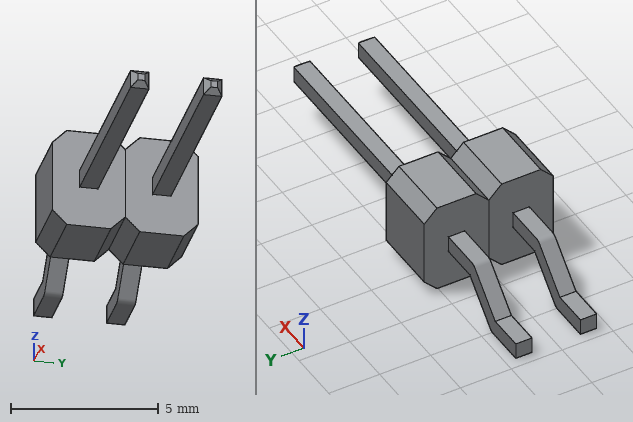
import cadquery as cq
import math

pin_count = 2
pitch = 2.54

housing_start = 4.54
housing_length = 2.57
housing_height = 3.55
housing_chamfer = 0.5

pin_length = 15.19
pin_width = 0.64
foot_length = 1.52
bend_angle = 45
bend_radius = pin_width / 2
tip_length = 0.23
tip_inset = 0.2

half_width = pin_width / 2
pin_height = housing_height / 2
foot_height = half_width
bend_run = (pin_height - foot_height) / math.tan(math.radians(bend_angle))
upper_bend = foot_length + bend_run
miter_shift = half_width * math.tan(math.radians(bend_angle / 2))


def make_housing(y):
    """Octagonal block with a square through hole for its pin."""
    center_x = housing_start + housing_length / 2
    block = (
        cq.Workplane("XY")
        .box(housing_length, pitch, housing_height)
        .edges("|X")
        .chamfer(housing_chamfer)
    )
    hole = cq.Workplane("XY").box(housing_length, pin_width, pin_width)
    return block.cut(hole).translate((center_x, y, pin_height))


def make_bent_bar():
    """Bar of square section with two opposite bends, rounded on their outer sides."""
    lower_outer = (foot_length + miter_shift, foot_height - half_width)
    upper_outer = (upper_bend - miter_shift, pin_height + half_width)
    outline = [
        (0, foot_height - half_width),
        lower_outer,
        (upper_bend + miter_shift, pin_height - half_width),
        (pin_length, pin_height - half_width),
        (pin_length, pin_height + half_width),
        upper_outer,
        (foot_length - miter_shift, foot_height + half_width),
        (0, foot_height + half_width),
    ]
    bar = cq.Workplane("XZ").polyline(outline).close().extrude(half_width, both=True)
    for x, z in (lower_outer, upper_outer):
        outer_edge = cq.selectors.NearestToPointSelector((x, 0, z))
        bar = bar.edges("|Y").edges(outer_edge).fillet(bend_radius)
    return bar


def make_pin(y):
    """Bent bar whose straight end tapers to a small square tip."""
    bar = make_bent_bar()
    tip_width = pin_width - 2 * tip_inset
    taper_start = pin_length - tip_length
    end_block = cq.Workplane("XY").box(tip_length, pin_width, pin_width)
    end_block = end_block.translate((pin_length - tip_length / 2, 0, pin_height))
    taper = (
        cq.Workplane("YZ", origin=(taper_start, 0, pin_height))
        .rect(pin_width, pin_width)
        .workplane(offset=tip_length)
        .rect(tip_width, tip_width)
        .loft(ruled=True)
    )
    pointed = bar.cut(end_block.cut(taper))
    return pointed.translate((0, y, 0))


housings = []
pins = []
for index in range(pin_count):
    row_y = (index - (pin_count - 1) / 2) * pitch
    housings.append(make_housing(row_y).val())
    pins.append(make_pin(row_y).val())

result = cq.Compound.makeCompound([*housings, *pins])